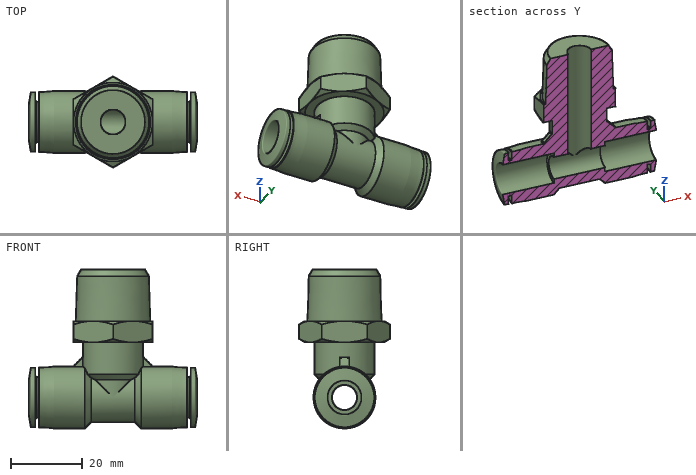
import cadquery as cq
import math


BORE_RADIUS = 7.0 / 2
TUBE_RADIUS = 9.53 / 2

RUN_HALF_LENGTH = 23.7
CORE_RADIUS = 7.0
BODY_RADIUS = 17.5 / 2
SHOULDER_END = 7.9
SHOULDER_START = SHOULDER_END - (BODY_RADIUS - CORE_RADIUS)
TAPER_START = 16.57
TAPER_END = 19.55
BODY_END = 20.9
BODY_END_RADIUS = 17.0 / 2
BODY_EDGE_CHAMFER = 0.15
SOCKET_BOTTOM = SHOULDER_END

NECK_RADIUS = 11.53 / 2
NECK_FLARE_START = 21.4
NECK_FLARE_RADIUS = 6.0
FLANGE_BACK = 21.85
FLANGE_RADIUS = 16.8 / 2
FLANGE_FRONT = 22.92
FLANGE_ROUND = 0.25
FACE_SLOPE = math.radians(9.7)
MOUTH_ROUND = 0.3

BRANCH_RADIUS = 17.0 / 2
BRANCH_SHOULDER_TOP = 6.5
BRANCH_SHOULDER_BOTTOM = BRANCH_SHOULDER_TOP - (BRANCH_RADIUS - CORE_RADIUS)
HEX_BOTTOM = 15.5
HEX_TOP = 21.5
HEX_ACROSS_CORNERS = 25.66
HEX_HALF_SIDE_ANGLE = math.radians(30)
HEX_ACROSS_FLATS = HEX_ACROSS_CORNERS * math.cos(HEX_HALF_SIDE_ANGLE)
HEX_CHAMFER_ANGLE = math.radians(30)
THREAD_TAPER = 1 / 16
THREAD_TIP = 34.1
THREAD_TIP_RADIUS = 10.12
THREAD_BASE_RADIUS = THREAD_TIP_RADIUS + (THREAD_TIP - HEX_TOP) * THREAD_TAPER / 2
BRANCH_TOP = 36.0
BRANCH_TOP_RADIUS = 9.0

RIB_WIDTH = 2.7
RIB_TOP = 11.38
RIB_FOOT_DEPTH = 0.05


def revolve_about_x(profile):
    return profile.close().revolve(360, (0, 0, 0), (1, 0, 0))


def revolve_about_z(profile):
    return profile.close().revolve(360, (0, 0, 0), (0, 1, 0))


def run_end():
    """Solid +X half of the run: waist, body, and release sleeve."""
    round_center_r = FLANGE_RADIUS - FLANGE_ROUND
    round_mid_angle = (math.pi / 2 + FACE_SLOPE) / 2

    def on_flange_round(angle):
        return (
            FLANGE_FRONT + FLANGE_ROUND * math.cos(angle),
            round_center_r + FLANGE_ROUND * math.sin(angle),
        )

    profile = (
        cq.Workplane("XY")
        .moveTo(0, 0)
        .lineTo(0, CORE_RADIUS)
        .lineTo(SHOULDER_START, CORE_RADIUS)
        .lineTo(SHOULDER_END, BODY_RADIUS)
        .lineTo(TAPER_START, BODY_RADIUS)
        .lineTo(TAPER_END, BODY_END_RADIUS)
        .lineTo(BODY_END - BODY_EDGE_CHAMFER, BODY_END_RADIUS)
        .lineTo(BODY_END, BODY_END_RADIUS - BODY_EDGE_CHAMFER)
        .lineTo(BODY_END, NECK_RADIUS)
        .lineTo(NECK_FLARE_START, NECK_RADIUS)
        .lineTo(FLANGE_BACK, NECK_FLARE_RADIUS)
        .lineTo(FLANGE_BACK, FLANGE_RADIUS)
        .lineTo(FLANGE_FRONT, FLANGE_RADIUS)
        .threePointArc(on_flange_round(round_mid_angle), on_flange_round(FACE_SLOPE))
        .lineTo(RUN_HALF_LENGTH, TUBE_RADIUS + MOUTH_ROUND)
        .lineTo(RUN_HALF_LENGTH, 0)
    )
    return revolve_about_x(profile)


def tube_socket():
    """Socket cut from the +X end, flaring through a rounded mouth."""
    diagonal = math.sqrt(0.5)
    profile = (
        cq.Workplane("XY")
        .moveTo(SOCKET_BOTTOM, 0)
        .lineTo(SOCKET_BOTTOM, TUBE_RADIUS)
        .lineTo(RUN_HALF_LENGTH - MOUTH_ROUND, TUBE_RADIUS)
        .threePointArc(
            (
                RUN_HALF_LENGTH - MOUTH_ROUND * (1 - diagonal),
                TUBE_RADIUS + MOUTH_ROUND * (1 - diagonal),
            ),
            (RUN_HALF_LENGTH, TUBE_RADIUS + MOUTH_ROUND),
        )
        .lineTo(RUN_HALF_LENGTH, 0)
    )
    return revolve_about_x(profile)


def on_both_ends(half):
    return half.union(half.mirror("YZ"))


def branch():
    """Turned branch from its root on the run axis up to the tapered thread."""
    profile = (
        cq.Workplane("XZ")
        .moveTo(0, 0)
        .lineTo(CORE_RADIUS, 0)
        .lineTo(CORE_RADIUS, BRANCH_SHOULDER_BOTTOM)
        .lineTo(BRANCH_RADIUS, BRANCH_SHOULDER_TOP)
        .lineTo(BRANCH_RADIUS, HEX_TOP)
        .lineTo(THREAD_BASE_RADIUS, HEX_TOP)
        .lineTo(THREAD_TIP_RADIUS, THREAD_TIP)
        .lineTo(BRANCH_TOP_RADIUS, BRANCH_TOP)
        .lineTo(0, BRANCH_TOP)
    )
    return revolve_about_z(profile)


def hexagon():
    """Spanner hexagon with corners on +-Y, its corners turned off at both faces."""
    flat_radius = HEX_ACROSS_FLATS / 2
    corner_radius = HEX_ACROSS_CORNERS / 2
    corner_drop = (corner_radius - flat_radius) * math.tan(HEX_CHAMFER_ANGLE)
    prism = (
        cq.Workplane("XY")
        .workplane(offset=HEX_BOTTOM)
        .polygon(6, HEX_ACROSS_CORNERS)
        .extrude(HEX_TOP - HEX_BOTTOM)
        .rotate((0, 0, 0), (0, 0, 1), 90)
    )
    envelope = revolve_about_z(
        cq.Workplane("XZ")
        .moveTo(0, HEX_BOTTOM)
        .lineTo(flat_radius, HEX_BOTTOM)
        .lineTo(corner_radius, HEX_BOTTOM + corner_drop)
        .lineTo(corner_radius, HEX_TOP - corner_drop)
        .lineTo(flat_radius, HEX_TOP)
        .lineTo(0, HEX_TOP)
    )
    return prism.intersect(envelope)


def rib():
    """45 degree gusset on the +X side."""
    inner_x = BRANCH_RADIUS - RIB_FOOT_DEPTH
    foot_z = BODY_RADIUS - RIB_FOOT_DEPTH
    return (
        cq.Workplane("XZ")
        .moveTo(inner_x, foot_z)
        .lineTo(BRANCH_RADIUS + RIB_TOP - foot_z, foot_z)
        .lineTo(BRANCH_RADIUS, RIB_TOP)
        .lineTo(inner_x, RIB_TOP)
        .close()
        .extrude(RIB_WIDTH / 2, both=True)
    )


run = on_both_ends(run_end())
outside = run.union(branch()).union(hexagon()).union(on_both_ends(rib()))

run_bore = cq.Workplane("YZ").circle(BORE_RADIUS).extrude(RUN_HALF_LENGTH, both=True)
branch_bore = cq.Workplane("XY").circle(BORE_RADIUS).extrude(BRANCH_TOP)

result = outside.cut(on_both_ends(tube_socket())).cut(run_bore).cut(branch_bore)